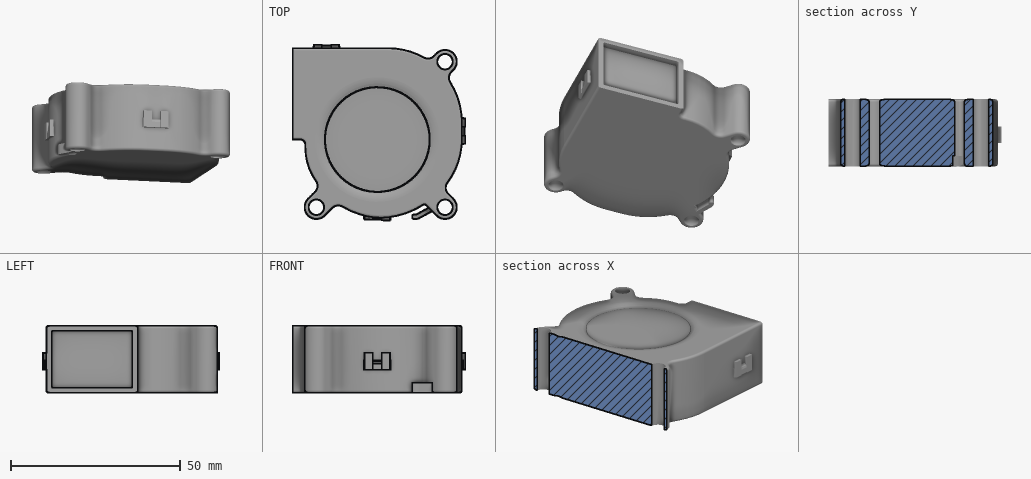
import cadquery as cq
import math


HEIGHT = 19.8
OUTLET_X = -25.0
RIGHT_X = 25.0
TOP_Y = 27.03
EDGE_RADIUS = 0.75

TOLERANCE = 0.01

UPPER_RADIUS = 21.9
UPPER_CENTRE = (RIGHT_X - UPPER_RADIUS, TOP_Y - UPPER_RADIUS)
RIGHT_RADIUS = 21.2
RIGHT_CENTRE = (RIGHT_X - RIGHT_RADIUS, 0.0)
LOWER_RADIUS = 22.1
LOWER_CENTRE = (1.16, -0.94)
LEFT_RADIUS = 17.25
LEFT_CENTRE = (-4.05, -2.33)
LEFT_X = LEFT_CENTRE[0] - LEFT_RADIUS

OUTLET_CORNER_RADIUS = 1.5
OUTLET_SIDE_WALL = 1.6
OUTLET_FLOOR = 1.45
OUTLET_DEPTH = 2.0
OUTLET_POCKET_RADIUS = 0.5

BOSS_RADIUS = 3.5
BOSS_HOLE_DIAMETER = 4.5
BOSS_NECK_LENGTH = 11.0
BOSS_BLEND_RADIUS = 2.5
HOOK_SIDE_BLEND_RADIUS = 1.0
HOOK_BOSS = (20.0, -20.0)
BOSSES = [(20.0, 23.0), (-18.0, -20.0), HOOK_BOSS]

INLET_OUTER_RADIUS = 18.4
INLET_LIP_RADIUS = 16.55
INLET_FLOOR_RADIUS = 15.55
INLET_LIP_DROP = 0.35
INLET_DEPTH = 0.8
HUB_GAP_WIDTH = 0.15
HUB_GAP_DEPTH = 1.0

CLIP_WIDTH = 7.5
CLIP_POST_WIDTH = 2.4
CLIP_REACH = 1.0
LOWER_CLIP_REACH = 0.8
CLIP_BAR_SETBACK = 0.15
CLIP_BAR_BEVEL = 0.2
CLIP_BASE_OVERHANG = 0.2
CLIP_BASE_REACH = 0.4
CLIP_ROOT = 1.0
CLIP_BOTTOM = 6.85
CLIP_TOP = 11.8
CLIP_BAR_SHOULDER = 8.5
CLIP_BAR_BREAK = 9.1
CLIP_BAR_TOP = 9.65
RIGHT_CLIP_Y = 2.5
TOP_CLIP_X = -15.0

HOOK_WIDTH = 1.4
HOOK_HEIGHT = 3.0
HOOK_ROOT = (16.5, -20.2)
HOOK_BEND = (12.1, -22.6)
HOOK_TIP = (10.95, -22.8)
NOTCH_BACK_OFFSET = 5.9
NOTCH_HEIGHT = 3.0
NOTCH_LENGTH = 4.0
NOTCH_WIDTH = 6.0


def polar(centre, radius, degrees):
    angle = math.radians(degrees)
    return (centre[0] + radius * math.cos(angle), centre[1] + radius * math.sin(angle))


def arc_points(centre, radius, start, end):
    """Middle and end points of an arc between two angles in degrees."""
    return polar(centre, radius, (start + end) / 2), polar(centre, radius, end)


def make_scroll():
    """Scroll and outlet block; the straight joins at -45 and -135 degrees lie under bosses."""
    return (
        cq.Workplane("XY")
        .moveTo(OUTLET_X, 0)
        .lineTo(OUTLET_X, TOP_Y)
        .lineTo(UPPER_CENTRE[0], TOP_Y)
        .threePointArc(*arc_points(UPPER_CENTRE, UPPER_RADIUS, 90, 0))
        .lineTo(RIGHT_X, 0)
        .threePointArc(*arc_points(RIGHT_CENTRE, RIGHT_RADIUS, 0, -45))
        .lineTo(*polar(LOWER_CENTRE, LOWER_RADIUS, -45))
        .threePointArc(*arc_points(LOWER_CENTRE, LOWER_RADIUS, -45, -135))
        .lineTo(*polar(LEFT_CENTRE, LEFT_RADIUS, -135))
        .threePointArc(*arc_points(LEFT_CENTRE, LEFT_RADIUS, -135, -180))
        .lineTo(LEFT_X, 0)
        .close()
        .extrude(HEIGHT)
    )


def boss_diagonal(boss):
    """Direction signs from the scroll out to a boss, along a 45 degree diagonal."""
    return math.copysign(1, boss[0]), math.copysign(1, boss[1])


def make_boss(boss):
    """Round boss with a straight neck running diagonally into the scroll."""
    sign_x, sign_y = boss_diagonal(boss)
    neck = (
        cq.Workplane("XY")
        .rect(BOSS_NECK_LENGTH, 2 * BOSS_RADIUS)
        .extrude(HEIGHT)
        .translate((-BOSS_NECK_LENGTH / 2, 0, 0))
        .rotate((0, 0, 0), (0, 0, 1), math.degrees(math.atan2(sign_y, sign_x)))
    )
    post = cq.Workplane("XY").circle(BOSS_RADIUS).extrude(HEIGHT)
    return neck.union(post).translate((boss[0], boss[1], 0))


def is_concave_join(edge, boss):
    """True for the vertical edges where the flanks of a boss neck meet the scroll."""
    sign_x, sign_y = boss_diagonal(boss)
    point = edge.Center()
    dx, dy = point.x - boss[0], point.y - boss[1]
    along = -(dx * sign_x + dy * sign_y) / math.sqrt(2)
    across = abs(dx * sign_y - dy * sign_x) / math.sqrt(2)
    on_flank = abs(across - BOSS_RADIUS) < TOLERANCE
    return on_flank and TOLERANCE < along < BOSS_NECK_LENGTH - TOLERANCE


def make_housing():
    body = make_scroll()
    for boss in BOSSES:
        body = body.union(make_boss(boss))
    for boss in BOSSES:
        joins = [e for e in body.edges("|Z").vals() if is_concave_join(e, boss)]
        lower_join, upper_join = sorted(joins, key=lambda e: e.Center().y)
        lower_radius = HOOK_SIDE_BLEND_RADIUS if boss == HOOK_BOSS else BOSS_BLEND_RADIUS
        body = body.newObject([upper_join]).fillet(BOSS_BLEND_RADIUS)
        body = body.newObject([lower_join]).fillet(lower_radius)
    inner_corner = (LEFT_X, 0, HEIGHT / 2)
    body = body.edges(cq.NearestToPointSelector(inner_corner)).fillet(OUTLET_CORNER_RADIUS)
    rims = body.faces("|Z").edges().vals()
    rims = [e for e in rims if e.Center().x > OUTLET_X + EDGE_RADIUS / 2]
    body = body.newObject(rims).fillet(EDGE_RADIUS)
    return body.cut(
        cq.Workplane("XY").pushPoints(BOSSES).circle(BOSS_HOLE_DIAMETER / 2).extrude(HEIGHT)
    )


def make_outlet_pocket():
    return (
        cq.Workplane("XY")
        .box(
            OUTLET_DEPTH,
            TOP_Y - 2 * OUTLET_SIDE_WALL,
            HEIGHT - 2 * OUTLET_FLOOR,
            centered=(False, True, True),
        )
        .edges("|X")
        .fillet(OUTLET_POCKET_RADIUS)
        .translate((OUTLET_X, TOP_Y / 2, HEIGHT / 2))
    )


def make_inlet_dish():
    """Shallow dish: a lip rounded tangent to the top, followed by a cone down to a flat floor."""
    half_angle = math.atan(INLET_LIP_DROP / (INLET_OUTER_RADIUS - INLET_LIP_RADIUS))
    bend_radius = INLET_LIP_DROP / (1 - math.cos(2 * half_angle))
    lip_middle = polar((INLET_OUTER_RADIUS, HEIGHT - bend_radius), bend_radius, 90 + math.degrees(half_angle))
    return (
        cq.Workplane("XZ")
        .moveTo(0, HEIGHT)
        .lineTo(INLET_OUTER_RADIUS, HEIGHT)
        .threePointArc(lip_middle, (INLET_LIP_RADIUS, HEIGHT - INLET_LIP_DROP))
        .lineTo(INLET_FLOOR_RADIUS, HEIGHT - INLET_DEPTH)
        .lineTo(0, HEIGHT - INLET_DEPTH)
        .close()
        .revolve(360, (0, 0, 0), (0, 1, 0))
    )


def make_hub_gap():
    """Thin ring gap between the dish and the impeller hub that fills its floor."""
    return (
        cq.Workplane("XY", origin=(0, 0, HEIGHT - INLET_DEPTH - HUB_GAP_DEPTH))
        .circle(INLET_FLOOR_RADIUS)
        .circle(INLET_FLOOR_RADIUS - HUB_GAP_WIDTH)
        .extrude(HUB_GAP_DEPTH)
    )


def make_clip_block(reach, width, top, y):
    """Block from inside the wall out to the given reach along +X."""
    return (
        cq.Workplane("XY")
        .box(reach + CLIP_ROOT, width, top - CLIP_BOTTOM, centered=(False, True, False))
        .translate((-CLIP_ROOT, y, CLIP_BOTTOM))
    )


def make_clip(reach):
    """H-shaped clip standing out along +X from a wall at X = 0, centred on Y = 0.

    Two posts with slightly wider feet are joined by a set-back bar with a sloped top.
    """
    bar_reach = reach - CLIP_BAR_SETBACK
    clip = (
        cq.Workplane("XZ")
        .moveTo(-CLIP_ROOT, CLIP_BOTTOM)
        .lineTo(bar_reach, CLIP_BOTTOM)
        .lineTo(bar_reach, CLIP_BAR_SHOULDER)
        .lineTo(bar_reach - CLIP_BAR_BEVEL, CLIP_BAR_BREAK)
        .lineTo(0, CLIP_BAR_TOP)
        .lineTo(-CLIP_ROOT, CLIP_BAR_TOP)
        .close()
        .extrude(CLIP_WIDTH / 2, both=True)
    )
    post_offset = (CLIP_WIDTH - CLIP_POST_WIDTH) / 2
    base_offset = post_offset + CLIP_BASE_OVERHANG / 2
    base_width = CLIP_POST_WIDTH + CLIP_BASE_OVERHANG
    for side in (-1, 1):
        clip = clip.union(make_clip_block(reach, CLIP_POST_WIDTH, CLIP_TOP, side * post_offset))
        clip = clip.union(make_clip_block(CLIP_BASE_REACH, base_width, CLIP_BAR_TOP, side * base_offset))
    return clip


def place_clip(x, y, degrees, reach=CLIP_REACH):
    return make_clip(reach).rotate((0, 0, 0), (0, 0, 1), degrees).translate((x, y, 0))


def make_hook():
    """Cable hook: a straight blade from a boss neck that curls into a rounded tip."""
    return (
        cq.Workplane("XY")
        .moveTo(*HOOK_ROOT)
        .lineTo(*HOOK_BEND)
        .tangentArcPoint(HOOK_TIP, relative=False)
        .offset2D(HOOK_WIDTH / 2)
        .extrude(HOOK_HEIGHT)
    )


def make_hook_notch():
    """Notch under the scroll behind the hook; its back wall continues the flank of the boss neck."""
    boss_distance = math.hypot(*HOOK_BOSS)
    return (
        cq.Workplane("XY")
        .box(NOTCH_LENGTH, NOTCH_WIDTH, NOTCH_HEIGHT, centered=False)
        .translate((boss_distance - NOTCH_BACK_OFFSET, -BOSS_RADIUS - NOTCH_WIDTH, 0))
        .rotate((0, 0, 0), (0, 0, 1), -45)
    )


lower_clip_tilt = math.degrees(math.asin(LOWER_CENTRE[0] / LOWER_RADIUS))
lower_clip_angle = 270 - lower_clip_tilt
lower_clip_point = polar(LOWER_CENTRE, LOWER_RADIUS, lower_clip_angle)

result = make_housing()
result = result.cut(make_outlet_pocket())
result = result.cut(make_inlet_dish())
result = result.cut(make_hub_gap())
result = result.cut(make_hook_notch())
result = result.union(place_clip(RIGHT_X, RIGHT_CLIP_Y, 0))
result = result.union(place_clip(TOP_CLIP_X, TOP_Y, 90))
result = result.union(place_clip(*lower_clip_point, lower_clip_angle, LOWER_CLIP_REACH))
result = result.union(make_hook())